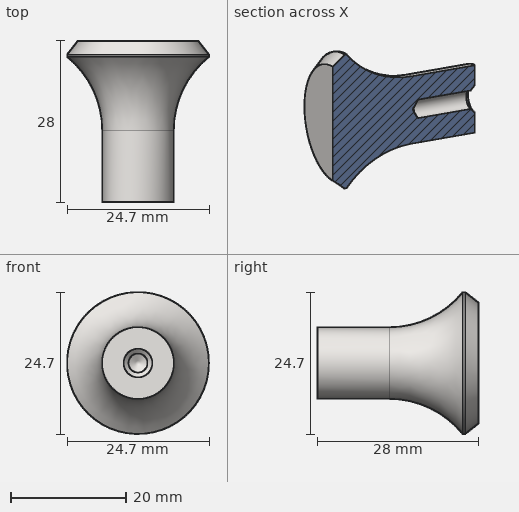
import cadquery as cq
import math

total_length = 28.0
head_radius = 12.35
stem_radius = 6.25
stem_length = 12.5
rim_start = 25.25
rim_width = 0.4
crown_radius = 10.5

hole_radius = 1.65
countersink_radius = 2.5
countersink_depth = countersink_radius - hole_radius
hole_depth = 11.2
drill_tip_angle = 118.0


def make_body():
    """Revolve the half outline: stem, concave flare, rim, bevel and crown."""
    rim_end = rim_start + rim_width
    flare_length = rim_start - stem_length
    flare_height = head_radius - stem_radius
    arc_radius = (flare_length**2 + flare_height**2) / (2 * flare_height)
    half_sweep = math.asin(flare_length / arc_radius) / 2
    arc_mid = (
        stem_radius + arc_radius * (1 - math.cos(half_sweep)),
        stem_length + arc_radius * math.sin(half_sweep),
    )
    outline = (
        cq.Workplane("XY")
        .lineTo(stem_radius, 0)
        .lineTo(stem_radius, stem_length)
        .threePointArc(arc_mid, (head_radius, rim_start))
        .lineTo(head_radius, rim_end)
        .lineTo(crown_radius, total_length)
        .lineTo(0, total_length)
        .close()
    )
    return outline.revolve(360, (0, 0, 0), (0, 1, 0))


def make_hole():
    """Revolve the countersunk blind hole with its conical drill tip."""
    tip_length = hole_radius / math.tan(math.radians(drill_tip_angle / 2))
    outline = (
        cq.Workplane("XY")
        .lineTo(countersink_radius, 0)
        .lineTo(hole_radius, countersink_depth)
        .lineTo(hole_radius, hole_depth)
        .lineTo(0, hole_depth + tip_length)
        .close()
    )
    return outline.revolve(360, (0, 0, 0), (0, 1, 0))


result = make_body().cut(make_hole())